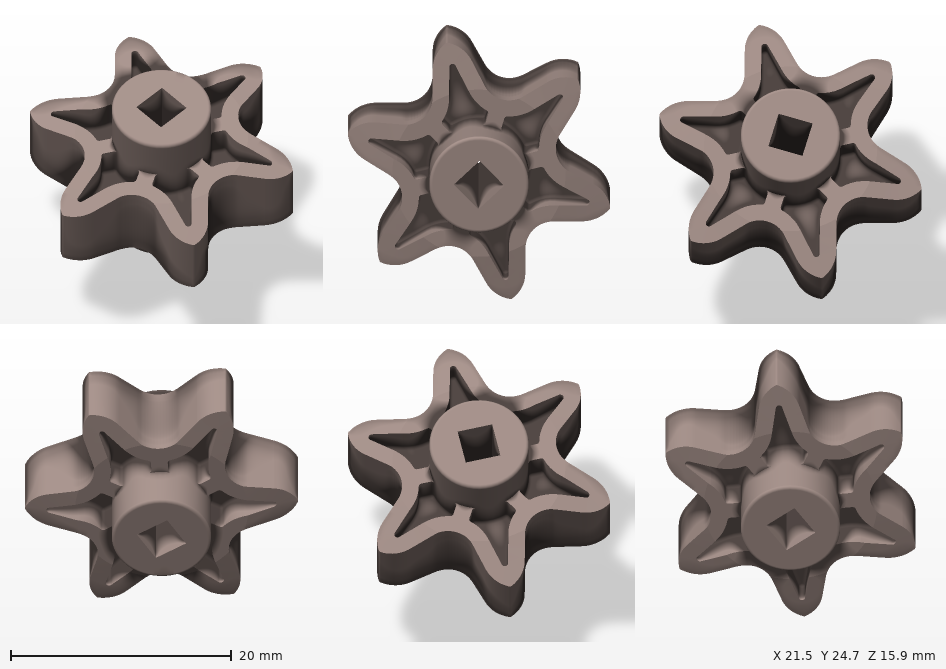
import cadquery as cq
import math

TEETH = 6
PITCH = 360 / TEETH
TIP_RADIUS = 12.37
WHEEL_THICKNESS = 7.7
HUB_LENGTH = 15.88
HUB_DIAMETER = 9.0
HUB_EDGE_ROUND = 0.3
BORE_SIDE = 3.22

FLANK_ANGLE = math.radians(14)
VALLEY_BOTTOM_RADIUS = 7.22
VALLEY_ROUND = 2.5
TOOTH_ARC_RADIUS = 3.12
TIP_ROUND = 0.25

RELIEF_START_RADIUS = 7.85
RELIEF_ANGLE = math.radians(10)
RIM_MARGIN = 0.25

WALL = 1.5
WEB_THICKNESS = 2.0
POCKET_ROUND = 0.3
JOINT_MARGIN = 0.25

HUB_RADIUS = HUB_DIAMETER / 2
HALF_WHEEL = WHEEL_THICKNESS / 2
HALF_WEB = WEB_THICKNESS / 2

VALLEY_ANGLE = math.radians(90 - PITCH / 2)
VALLEY_DISTANCE = VALLEY_BOTTOM_RADIUS + VALLEY_ROUND
VALLEY_CENTER = (
    VALLEY_DISTANCE * math.cos(VALLEY_ANGLE),
    VALLEY_DISTANCE * math.sin(VALLEY_ANGLE),
)
FLANK_NORMAL = (math.cos(FLANK_ANGLE), math.sin(FLANK_ANGLE))
FLANK_DIRECTION = (-math.sin(FLANK_ANGLE), math.cos(FLANK_ANGLE))


def shifted(point, direction, distance):
    return (point[0] + distance * direction[0], point[1] + distance * direction[1])


def towards(center, target, radius):
    """Point on the circle about center, in the direction of target."""
    dx = target[0] - center[0]
    dy = target[1] - center[1]
    return shifted(center, (dx, dy), radius / math.hypot(dx, dy))


def arc_middle(center, start, end):
    chord_middle = ((start[0] + end[0]) / 2, (start[1] + end[1]) / 2)
    return towards(center, chord_middle, math.dist(center, start))


def mirrored(point):
    return (-point[0], point[1])


def turned(point, degrees):
    angle = math.radians(degrees)
    return (
        point[0] * math.cos(angle) - point[1] * math.sin(angle),
        point[0] * math.sin(angle) + point[1] * math.cos(angle),
    )


def wheel_body():
    """Star-shaped wheel: each tooth is straight flanks, convex arcs and a rounded tip."""
    flank_foot = shifted(VALLEY_CENTER, FLANK_NORMAL, -VALLEY_ROUND)

    tip_center = (0, TIP_RADIUS - TIP_ROUND)
    slide_start = shifted(flank_foot, FLANK_NORMAL, -TOOTH_ARC_RADIUS)
    to_tip = (tip_center[0] - slide_start[0], tip_center[1] - slide_start[1])
    across = to_tip[0] * FLANK_NORMAL[0] + to_tip[1] * FLANK_NORMAL[1]
    along = to_tip[0] * FLANK_DIRECTION[0] + to_tip[1] * FLANK_DIRECTION[1]
    center_gap = TOOTH_ARC_RADIUS - TIP_ROUND
    flank_length = along - math.sqrt(center_gap**2 - across**2)

    flank_top = shifted(flank_foot, FLANK_DIRECTION, flank_length)
    arc_center = shifted(slide_start, FLANK_DIRECTION, flank_length)
    tip_start = towards(arc_center, tip_center, TOOTH_ARC_RADIUS)
    arc_mid = arc_middle(arc_center, flank_top, tip_start)
    valley_bottom = towards(VALLEY_CENTER, (0, 0), VALLEY_ROUND)

    outline = cq.Workplane("XY").workplane(offset=-HALF_WHEEL).moveTo(*flank_foot)
    for tooth in range(TEETH):
        turn = tooth * PITCH
        next_foot = turned(flank_foot, turn + PITCH)
        outline = (
            outline.lineTo(*turned(flank_top, turn))
            .threePointArc(turned(arc_mid, turn), turned(tip_start, turn))
            .threePointArc(turned((0, TIP_RADIUS), turn), turned(mirrored(tip_start), turn))
            .threePointArc(turned(mirrored(arc_mid), turn), turned(mirrored(flank_top), turn))
            .lineTo(*turned(mirrored(flank_foot), turn))
            .threePointArc(turned(valley_bottom, turn + PITCH), next_foot)
        )
    return outline.close().extrude(WHEEL_THICKNESS)


def relief_envelope():
    """Disc with coned faces that thins the teeth towards their tips."""
    rim_radius = TIP_RADIUS + RIM_MARGIN
    rim_half = HALF_WHEEL - (rim_radius - RELIEF_START_RADIUS) * math.tan(RELIEF_ANGLE)
    section = [
        (0, -HALF_WHEEL),
        (RELIEF_START_RADIUS, -HALF_WHEEL),
        (rim_radius, -rim_half),
        (rim_radius, rim_half),
        (RELIEF_START_RADIUS, HALF_WHEEL),
        (0, HALF_WHEEL),
    ]
    return cq.Workplane("XZ").polyline(section).close().revolve(360, (0, 0), (0, 1))


def hub_cylinder():
    return cq.Workplane("XY").circle(HUB_RADIUS).extrude(HUB_LENGTH / 2, both=True)


def pocket_cutter():
    """Upper pocket of the reference tooth, with its side walls and floor edges rounded."""
    wall_radius = VALLEY_ROUND + WALL
    flank_foot = shifted(VALLEY_CENTER, FLANK_NORMAL, -wall_radius)
    point = (0, flank_foot[1] + flank_foot[0] / math.tan(FLANK_ANGLE))

    axis = (math.cos(VALLEY_ANGLE), math.sin(VALLEY_ANGLE))
    rib_side = shifted((0, 0), (-axis[1], axis[0]), WALL / 2)
    outer_reach = VALLEY_DISTANCE - math.sqrt(wall_radius**2 - (WALL / 2) ** 2)
    rib_outer = shifted(rib_side, axis, outer_reach)
    ribs_meet = (0, WALL / 2 / math.cos(VALLEY_ANGLE))
    wall_mid = arc_middle(VALLEY_CENTER, flank_foot, rib_outer)

    cutter = (
        cq.Workplane("XY").workplane(offset=HALF_WEB)
        .moveTo(*point)
        .lineTo(*flank_foot)
        .threePointArc(wall_mid, rib_outer)
        .lineTo(*ribs_meet)
        .lineTo(*mirrored(rib_outer))
        .threePointArc(mirrored(wall_mid), mirrored(flank_foot))
        .close()
        .extrude(HALF_WHEEL - HALF_WEB)
        .cut(hub_cylinder())
    )
    flank_joints = cq.selectors.BoxSelector(
        (-TIP_RADIUS, flank_foot[1] - JOINT_MARGIN, 0),
        (TIP_RADIUS, flank_foot[1] + JOINT_MARGIN, HUB_LENGTH),
    )
    corners = cq.selectors.SubtractSelector(cq.selectors.StringSyntaxSelector("|Z"), flank_joints)
    return cutter.edges(corners).fillet(POCKET_ROUND).faces("<Z").edges().fillet(POCKET_ROUND)


hub = hub_cylinder().faces("<Z or >Z").edges().fillet(HUB_EDGE_ROUND)
result = wheel_body().intersect(relief_envelope()).union(hub)

upper_pocket = pocket_cutter()
lower_pocket = upper_pocket.mirror("XY")
for tooth in range(TEETH):
    for pocket in (upper_pocket, lower_pocket):
        result = result.cut(pocket.rotate((0, 0, 0), (0, 0, 1), tooth * PITCH))

bore = cq.Workplane("XY").rect(BORE_SIDE, BORE_SIDE).extrude(HUB_LENGTH, both=True)
result = result.cut(bore)